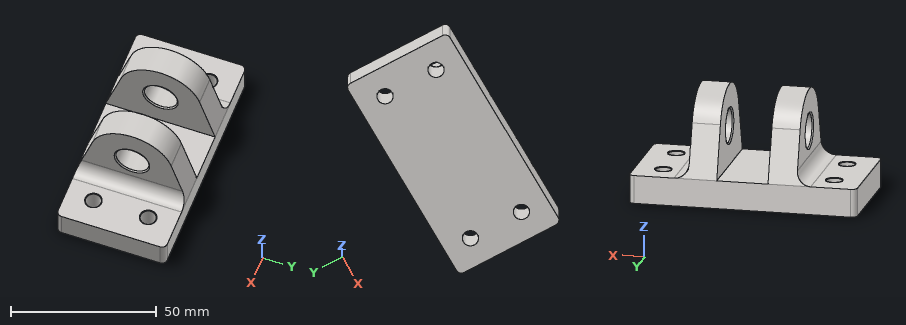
import cadquery as cq
import math

base_length = 80.0
base_width = 40.0
base_thickness = 10.0
base_corner_radius = 2.0

lug_thickness = 10.0
lug_gap = 18.0
lug_head_diameter = 30.0
lug_head_radius = lug_head_diameter / 2
root_fillet_radius = lug_thickness / 2

pin_height = 24.0
pin_diameter = 12.0
pin_chamfer = 0.5

mount_spacing_x = 60.0
mount_spacing_y = 20.0
mount_diameter = 5.5
mount_chamfer = 0.2

lug_top = pin_height + lug_head_radius
lug_inner_x = lug_gap / 2
lug_outer_x = lug_inner_x + lug_thickness


def make_base():
    """Plate resting on Z = 0 with rounded vertical corners."""
    plate = cq.Workplane("XY").box(
        base_length, base_width, base_thickness, centered=(True, True, False)
    )
    return plate.edges("|Z").fillet(base_corner_radius)


def make_lug_outline():
    """Tapered lug outline along X; its flanks are tangent to the round head."""
    foot_y = base_width / 2
    foot_drop = pin_height - base_thickness
    foot_angle = math.atan2(-foot_drop, foot_y)
    foot_distance = math.hypot(foot_y, foot_drop)
    tangent_angle = foot_angle + math.acos(lug_head_radius / foot_distance)
    tangent_y = lug_head_radius * math.cos(tangent_angle)
    tangent_z = pin_height + lug_head_radius * math.sin(tangent_angle)
    return (
        cq.Workplane("YZ")
        .moveTo(-foot_y, base_thickness)
        .lineTo(foot_y, base_thickness)
        .lineTo(tangent_y, tangent_z)
        .threePointArc((0, lug_top), (-tangent_y, tangent_z))
        .close()
        .extrude(base_length / 2, both=True)
    )


def make_lug_slab():
    """Upright slab on the +X side with a concave fillet at its outer root."""
    fillet_end_x = lug_outer_x + root_fillet_radius
    fillet_top_z = base_thickness + root_fillet_radius
    arc_offset = root_fillet_radius * math.sqrt(0.5)
    arc_middle = (fillet_end_x - arc_offset, fillet_top_z - arc_offset)
    return (
        cq.Workplane("XZ")
        .moveTo(lug_inner_x, base_thickness)
        .lineTo(fillet_end_x, base_thickness)
        .threePointArc(arc_middle, (lug_outer_x, fillet_top_z))
        .lineTo(lug_outer_x, lug_top)
        .lineTo(lug_inner_x, lug_top)
        .close()
        .extrude(base_width / 2, both=True)
    )


def make_cutter(diameter, length, chamfer):
    """Drill along +Z from Z = 0, flaring at its far end to chamfer the rim."""
    radius = diameter / 2
    return (
        cq.Workplane("XZ")
        .lineTo(radius, 0)
        .lineTo(radius, length - chamfer)
        .lineTo(radius + chamfer, length)
        .lineTo(0, length)
        .close()
        .revolve(360, (0, 0, 0), (0, 1, 0))
    )


def make_lug():
    """The +X lug with its pin bore chamfered at both ends."""
    lug = make_lug_slab().intersect(make_lug_outline())
    cutter = make_cutter(pin_diameter, lug_thickness, pin_chamfer)
    for start_x, tilt in ((lug_inner_x, 90), (lug_outer_x, -90)):
        turned_cutter = cutter.rotate((0, 0, 0), (0, 1, 0), tilt)
        lug = lug.cut(turned_cutter.translate((start_x, 0, pin_height)))
    return lug


def drill_mount_holes(plate):
    """Drill the four through holes, chamfered at their upper rims."""
    cutter = make_cutter(mount_diameter, base_thickness, mount_chamfer)
    for side_x in (-1, 1):
        for side_y in (-1, 1):
            position = (side_x * mount_spacing_x / 2, side_y * mount_spacing_y / 2, 0)
            plate = plate.cut(cutter.translate(position))
    return plate


base = drill_mount_holes(make_base())
lug = make_lug()
result = base.union(lug).union(lug.mirror("YZ"))